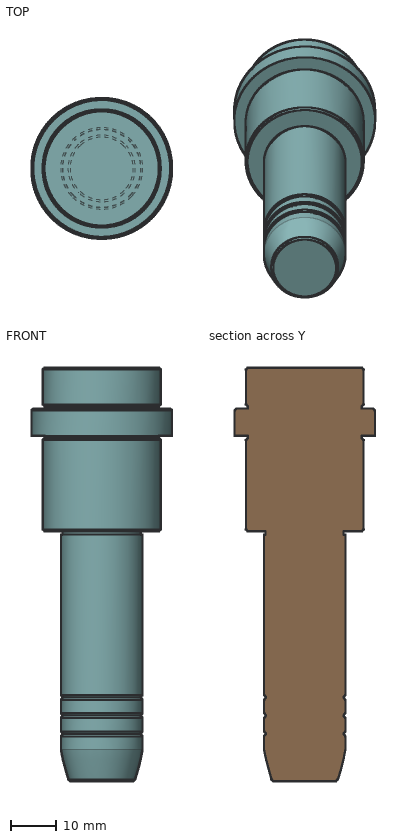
import cadquery as cq
import math

length = 91.0
edge_chamfer = 0.5

body_radius = 26.0 / 2
flange_radius = 31.0 / 2
body_neck_radius = body_radius - edge_chamfer

flange_top = length - 9.0
flange_bottom = flange_top - 6.0
body_bottom = length - 36.0
relief_height = 0.5

shaft_radius = 18.0 / 2
shaft_neck_radius = shaft_radius - 0.4
shaft_top = body_bottom - 0.7

groove_count = 3
groove_pitch = 4.0
groove_width = 1.1
groove_depth = 0.5
lowest_groove_height = 10.5

tip_height = 7.0
tip_radius = 14.7 / 2
tip_bulge = 0.14


def make_tip():
    """Taper with a shallow convex profile and a chamfered end."""
    taper_height = tip_height - edge_chamfer
    taper_inset = shaft_radius - tip_radius
    taper_length = math.hypot(taper_height, taper_inset)
    middle = (
        (shaft_radius + tip_radius) / 2 + tip_bulge * taper_height / taper_length,
        (tip_height + edge_chamfer) / 2 - tip_bulge * taper_inset / taper_length,
    )
    return (
        cq.Workplane("XZ")
        .moveTo(0, 0)
        .lineTo(tip_radius - edge_chamfer, 0)
        .lineTo(tip_radius, edge_chamfer)
        .threePointArc(middle, (shaft_radius, tip_height))
        .lineTo(0, tip_height)
        .close()
        .revolve(360, (0, 0, 0), (0, 1, 0))
    )


def cylinder(radius, bottom, top):
    return cq.Workplane("XY").workplane(offset=bottom).circle(radius).extrude(top - bottom)


def make_groove(height):
    """V-shaped ring that is cut from the shaft, centred on the given height."""
    half_width = groove_width / 2
    return (
        cq.Workplane("XZ")
        .moveTo(shaft_radius, height - half_width)
        .lineTo(shaft_radius - groove_depth, height)
        .lineTo(shaft_radius, height + half_width)
        .close()
        .revolve(360, (0, 0, 0), (0, 1, 0))
    )


shaft = cylinder(shaft_radius, tip_height, shaft_top).union(make_tip())
shaft = shaft.union(cylinder(shaft_neck_radius, shaft_top, body_bottom))
for index in range(groove_count):
    shaft = shaft.cut(make_groove(lowest_groove_height + index * groove_pitch))

body_top = flange_bottom - relief_height
head_bottom = flange_top + relief_height
body = cylinder(body_radius, body_bottom, body_top).edges().chamfer(edge_chamfer)
flange = cylinder(flange_radius, flange_bottom, flange_top).edges(">Z").chamfer(edge_chamfer)
head = cylinder(body_radius, head_bottom, length).edges().chamfer(edge_chamfer)
flange_neck = cylinder(body_neck_radius, body_top, head_bottom)

result = shaft.union(body).union(flange_neck).union(flange).union(head)